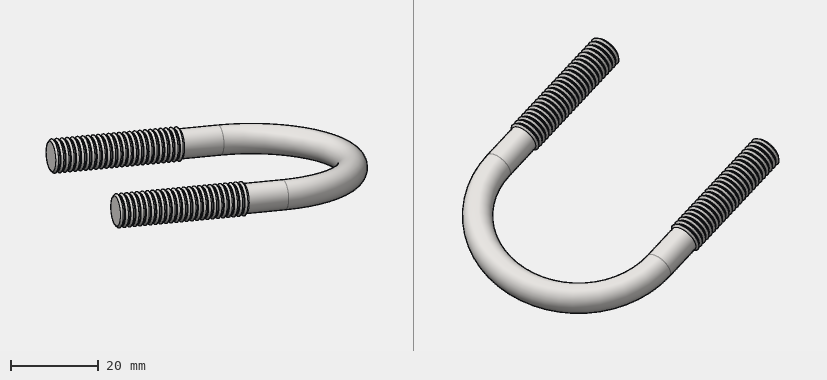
import cadquery as cq

overall_length = 67.0
overall_width = 54.0
thread_diameter = 8.0

rod_diameter = 7.0
thread_length = 31.0
ridge_count = 25
root_flat = 0.24

thread_radius = thread_diameter / 2
rod_radius = rod_diameter / 2
bend_radius = (overall_width - thread_diameter) / 2
leg_length = overall_length - bend_radius - rod_radius

ridge_pitch = (thread_length + root_flat) / ridge_count
ridge_width = ridge_pitch - root_flat


def make_leg(x):
    """Straight leg along Y, from the ridged free end up to the bend at Y = 0."""
    end_y = -leg_length
    profile = cq.Workplane("XY").moveTo(0, end_y).lineTo(rod_radius, end_y)
    for ridge in range(ridge_count):
        start_y = end_y + ridge * ridge_pitch
        if ridge > 0:
            profile = profile.lineTo(rod_radius, start_y)
        profile = profile.lineTo(thread_radius, start_y + ridge_width / 2)
        profile = profile.lineTo(rod_radius, start_y + ridge_width)
    profile = profile.lineTo(rod_radius, 0).lineTo(0, 0).close()
    leg = profile.revolve(360, (0, 0, 0), (0, 1, 0))
    return leg.translate((x, 0, 0))


def make_bend():
    """Half-circle bend joining the two legs, centred on the origin in the XY plane."""
    section = cq.Workplane("XZ").center(bend_radius, 0).circle(rod_radius)
    return section.revolve(180, (-bend_radius, 0, 0), (-bend_radius, 1, 0))


result = make_bend()
for leg_x in (-bend_radius, bend_radius):
    result = result.union(make_leg(leg_x))